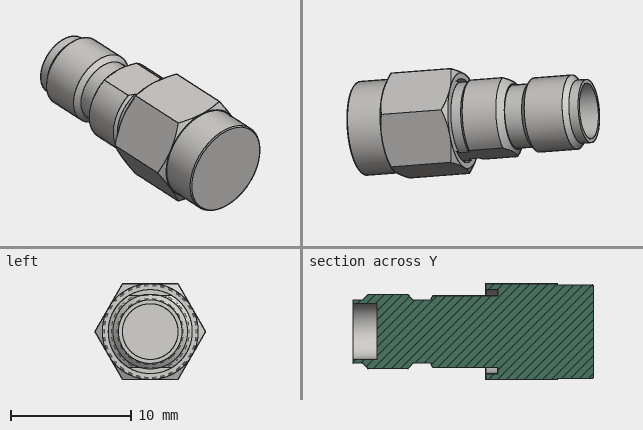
import cadquery as cq
import math


NOSE_END = 0.82
BARREL_START = 1.25
BARREL_END = 4.6
GROOVE_START = 5.0
GROOVE_END = 6.5
BODY_START = 6.98
BODY_END = 9.95
NECK_START = 10.18
NUT_START = 11.05
NUT_END = 17.05
TOTAL_LENGTH = 20.05

NOSE_DIAMETER = 5.3
BARREL_DIAMETER = 6.22
BODY_DIAMETER = 7.0
BODY_CONE_DIAMETER = 5.5
NECK_DIAMETER = 6.5
SLEEVE_DIAMETER = 7.85

BORE_DIAMETER = 4.64
BORE_DEPTH = 2.0

BODY_FLATS_WIDTH = 6.0
NUT_FLATS_WIDTH = 8.0
NUT_CORNER_WIDTH = NUT_FLATS_WIDTH / math.cos(math.radians(30))
NUT_RECESS_DIAMETER = BODY_DIAMETER
NUT_RECESS_DEPTH = 1.0
NUT_CHAMFER_ANGLE = 30.0
SLEEVE_CHAMFER = 0.1

SHOULDER_END = NUT_START + NUT_RECESS_DEPTH


def revolve_about_axis(points):
    """Solid of revolution about X from (station, radius) points, closed along the axis."""
    first_station = points[0][0]
    last_station = points[-1][0]
    outline = [(first_station, 0)] + points + [(last_station, 0)]
    return cq.Workplane("XY").polyline(outline).close().revolve(360, (0, 0, 0), (1, 0, 0))


def make_threaded_end():
    """Nose, double-chamfered barrel and the relief groove behind it."""
    nose_radius = NOSE_DIAMETER / 2
    barrel_radius = BARREL_DIAMETER / 2
    return revolve_about_axis([
        (0, nose_radius),
        (NOSE_END, nose_radius),
        (BARREL_START, barrel_radius),
        (BARREL_END, barrel_radius),
        (GROOVE_START, nose_radius),
        (GROOVE_END, nose_radius),
    ])


def make_body():
    """Round body, neck and seated shoulder, with one flat on top and one underneath."""
    body_radius = BODY_DIAMETER / 2
    neck_radius = NECK_DIAMETER / 2
    turned = revolve_about_axis([
        (GROOVE_END, BODY_CONE_DIAMETER / 2),
        (BODY_START, body_radius),
        (BODY_END, body_radius),
        (NECK_START, neck_radius),
        (NUT_START, neck_radius),
        (NUT_START, body_radius),
        (SHOULDER_END, body_radius),
    ])
    slab = cq.Workplane("XY").box(
        SHOULDER_END, BODY_DIAMETER, BODY_FLATS_WIDTH, centered=(False, True, True)
    )
    return turned.intersect(slab)


def make_nut():
    """Hexagon with flats facing +Z and -Z, chamfered corners and a recess for the body."""
    hexagon = (
        cq.Workplane("YZ", origin=(NUT_START, 0, 0))
        .polygon(6, NUT_CORNER_WIDTH)
        .extrude(NUT_END - NUT_START)
    )
    face_radius = NUT_FLATS_WIDTH / 2
    corner_radius = NUT_CORNER_WIDTH / 2
    chamfer_length = (corner_radius - face_radius) * math.tan(math.radians(NUT_CHAMFER_ANGLE))
    envelope = revolve_about_axis([
        (NUT_START, face_radius),
        (NUT_START + chamfer_length, corner_radius),
        (NUT_END - chamfer_length, corner_radius),
        (NUT_END, face_radius),
    ])
    recess = (
        cq.Workplane("YZ", origin=(NUT_START, 0, 0))
        .circle(NUT_RECESS_DIAMETER / 2)
        .extrude(NUT_RECESS_DEPTH)
    )
    return hexagon.intersect(envelope).cut(recess)


def make_sleeve():
    """Plain round sleeve behind the nut, with its end edge broken."""
    sleeve_radius = SLEEVE_DIAMETER / 2
    return revolve_about_axis([
        (NUT_END, sleeve_radius),
        (TOTAL_LENGTH - SLEEVE_CHAMFER, sleeve_radius),
        (TOTAL_LENGTH, sleeve_radius - SLEEVE_CHAMFER),
    ])


def make_bore():
    """Blind round bore opening at X = 0."""
    return cq.Workplane("YZ").circle(BORE_DIAMETER / 2).extrude(BORE_DEPTH)


adapter = make_threaded_end().union(make_body()).union(make_nut()).union(make_sleeve())
result = adapter.cut(make_bore())